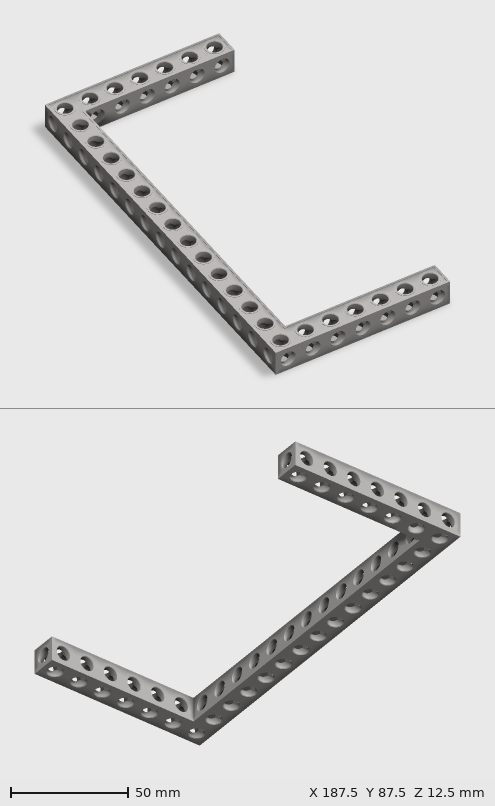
import cadquery as cq

length = 187.5
holes_in_bar = 15
holes_in_arm = 7
hole_diameter = 7.0
mouth_diameter = 7.5
boss_diameter = 9.2
rim_width = 1.0
recess_depth = 0.2

beam = length / holes_in_bar
width = holes_in_arm * beam
half_length = length / 2
middle = beam / 2
mouth_depth = (mouth_diameter - hole_diameter) / 2

bar_xs = [-half_length + middle + i * beam for i in range(holes_in_bar)]
arm_ys = [middle + i * beam for i in range(holes_in_arm)]
arm_xs = [bar_xs[0], bar_xs[-1]]

X_AXIS = cq.Vector(1, 0, 0)
Y_AXIS = cq.Vector(0, 1, 0)
Z_AXIS = cq.Vector(0, 0, 1)


def u_prism(inset, bottom, height):
    """U-shaped block, open toward +Y, with its sides moved inward by the inset."""
    outer = half_length - inset
    inner = half_length - beam + inset
    outline = [
        (-outer, inset),
        (outer, inset),
        (outer, width - inset),
        (inner, width - inset),
        (inner, beam - inset),
        (-inner, beam - inset),
        (-inner, width - inset),
        (-outer, width - inset),
    ]
    return cq.Workplane("XY", origin=(0, 0, bottom)).polyline(outline).close().extrude(height)


def hole_cutters(x, y, z, axis, span):
    """Bore from a start point along an axis, with a chamfered mouth at both ends."""
    start = cq.Vector(x, y, z)
    end = start + axis * span
    bore_radius = hole_diameter / 2
    mouth_radius = mouth_diameter / 2
    return [
        cq.Solid.makeCylinder(bore_radius, span, start, axis),
        cq.Solid.makeCone(mouth_radius, bore_radius, mouth_depth, start, axis),
        cq.Solid.makeCone(mouth_radius, bore_radius, mouth_depth, end, axis * -1),
    ]


vertical_points = [(x, middle) for x in bar_xs]
vertical_points += [(x, y) for x in arm_xs for y in arm_ys[1:]]

bosses = cq.Workplane("XY").pushPoints(vertical_points).circle(boss_diameter / 2).extrude(beam)
recess = u_prism(rim_width, beam - recess_depth, recess_depth).cut(bosses)
body = u_prism(0, 0, beam).cut(recess)

cutters = []
for x, y in vertical_points:
    cutters += hole_cutters(x, y, 0, Z_AXIS, beam)

for x in bar_xs[1:-1]:
    cutters += hole_cutters(x, 0, middle, Y_AXIS, beam)
for x in arm_xs:
    cutters += hole_cutters(x, 0, middle, Y_AXIS, width)

cutters += hole_cutters(-half_length, middle, middle, X_AXIS, length)
for y in arm_ys[1:]:
    for x in arm_xs:
        cutters += hole_cutters(x - middle, y, middle, X_AXIS, beam)

result = cq.Workplane(body.val().cut(*cutters)).solids()